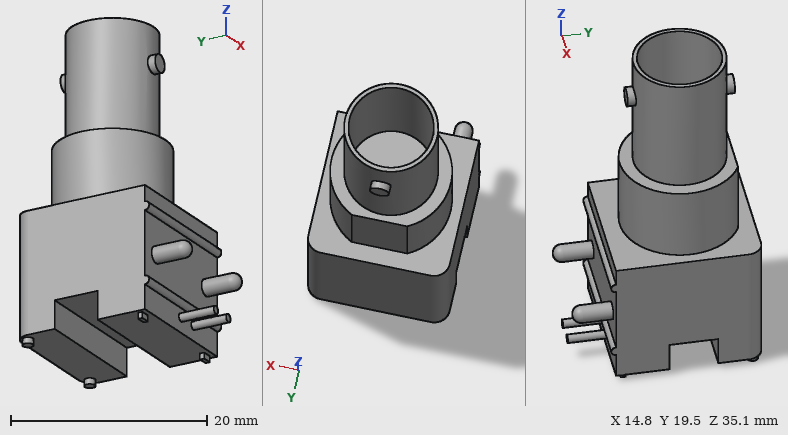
import cadquery as cq

overall_height = 35.05

body_width = 14.75
body_back = 7.33
body_front = -8.05
body_bottom = 0.65
body_top = 14.35
back_corner_radius = 1.6

notch_back = 2.55
notch_front = -2.5
notch_top = 3.82

collar_diameter = 12.45
collar_top = 22.3
collar_flat_y = 5.5
barrel_diameter = 9.6
bore_diameter = 8.7
bore_floor = collar_top

lug_diameter = 2.0
lug_reach = 5.57
lug_z = 30.85

rib_radius = 0.5
rib_heights = (12.05, 3.9)

pin_tip_y = -12.15
post_diameter = 1.85
post_x = 5.08
post_z = 7.43
pin_diameter = 0.9
pin_positions_x = (0.0, 2.52)
pin_z = 2.35

foot_x = 6.3
back_foot_y = 6.3
back_foot_diameter = 1.15
front_foot_y = -7.22
front_foot_width = back_foot_diameter
front_foot_depth = 0.5


def z_cylinder(diameter, bottom, top, x=0.0, y=0.0):
    """Upright cylinder between two heights."""
    return cq.Workplane("XY", origin=(x, y, bottom)).circle(diameter / 2).extrude(top - bottom)


def y_cylinder(diameter, back, front, x, z):
    """Cylinder running along Y from its back end to its front end."""
    return cq.Workplane("XZ", origin=(x, back, z)).circle(diameter / 2).extrude(back - front)


def make_housing():
    depth = body_back - body_front
    housing = (
        cq.Workplane("XY", origin=(0, (body_back + body_front) / 2, body_bottom))
        .rect(body_width, depth)
        .extrude(body_top - body_bottom)
        .edges("|Z and >Y")
        .fillet(back_corner_radius)
    )
    notch = (
        cq.Workplane("XY", origin=(0, (notch_back + notch_front) / 2, body_bottom))
        .rect(body_width, notch_back - notch_front)
        .extrude(notch_top - body_bottom)
    )
    return housing.cut(notch)


def make_collar():
    collar = z_cylinder(collar_diameter, body_top, collar_top)
    beyond_flat = (
        cq.Workplane("XY", origin=(0, collar_flat_y + collar_diameter / 2, body_top))
        .rect(collar_diameter, collar_diameter)
        .extrude(collar_top - body_top)
    )
    return collar.cut(beyond_flat)


def make_rib(z):
    return (
        cq.Workplane("YZ", origin=(-body_width / 2, body_front, z))
        .circle(rib_radius)
        .extrude(body_width)
    )


def make_post(x):
    dome_y = pin_tip_y + post_diameter / 2
    shank = y_cylinder(post_diameter, body_front, dome_y, x, post_z)
    dome = cq.Workplane("XY", origin=(x, dome_y, post_z)).sphere(post_diameter / 2)
    return shank.union(dome)


def make_front_foot(x):
    return (
        cq.Workplane("XY", origin=(x, front_foot_y, 0))
        .rect(front_foot_width, front_foot_depth)
        .extrude(body_bottom)
    )


result = make_housing().union(make_collar())
result = result.union(z_cylinder(barrel_diameter, body_top, overall_height))
result = result.union(y_cylinder(lug_diameter, lug_reach, -lug_reach, 0, lug_z))
result = result.cut(z_cylinder(bore_diameter, bore_floor, overall_height))

for rib_z in rib_heights:
    result = result.union(make_rib(rib_z))

for pin_x in pin_positions_x:
    result = result.union(y_cylinder(pin_diameter, body_front, pin_tip_y, pin_x, pin_z))

for side in (-1, 1):
    result = result.union(make_post(side * post_x))
    result = result.union(z_cylinder(back_foot_diameter, 0, body_bottom, side * foot_x, back_foot_y))
    result = result.union(make_front_foot(side * foot_x))